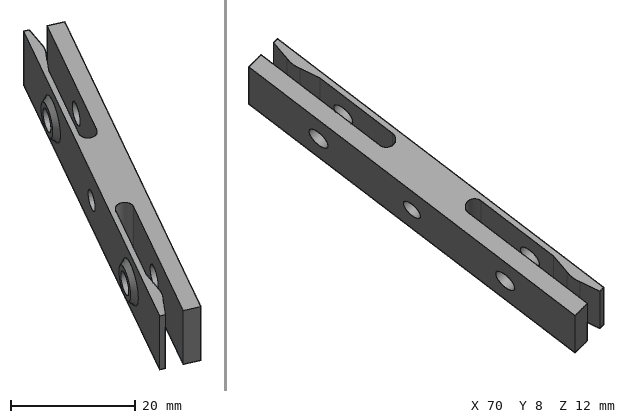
import cadquery as cq

length = 70.0
height = 12.0
back_thickness = 3.0
slot_width = 3.0
leaf_thickness = 1.0
depth = back_thickness + slot_width + leaf_thickness

half_length = length / 2
web_half_width = 8.0
slot_radius = slot_width / 2
slot_middle = leaf_thickness + slot_radius
slot_back = leaf_thickness + slot_width

ridge_half_span = 5.0
ridge_rise = 1.0
crest_half_width = 1.4
crest_shoulder_rise = 0.8
ridge_x = half_length - ridge_half_span

boss_x = 20.0
boss_height = 1.0
boss_base_radius = 4.0
boss_hole_radius = 2.0
center_hole_radius = 1.8


def slot(side):
    """Slot on one side (+1 or -1 along X), leaving the ridge on the leaf."""
    shoulder_y = leaf_thickness + crest_shoulder_rise
    outline = (
        cq.Workplane("XY")
        .moveTo(side * half_length, slot_back)
        .lineTo(side * (web_half_width + slot_radius), slot_back)
        .threePointArc(
            (side * web_half_width, slot_middle),
            (side * (web_half_width + slot_radius), leaf_thickness),
        )
        .lineTo(side * (ridge_x - ridge_half_span), leaf_thickness)
        .lineTo(side * (ridge_x - crest_half_width), shoulder_y)
        .threePointArc(
            (side * ridge_x, leaf_thickness + ridge_rise),
            (side * (ridge_x + crest_half_width), shoulder_y),
        )
        .lineTo(side * half_length, leaf_thickness)
        .close()
    )
    return outline.extrude(height / 2, both=True)


def boss(x):
    """Boss with a 45 degree conical flank on the front face."""
    return (
        cq.Workplane("XZ", origin=(x, 0, 0))
        .circle(boss_base_radius)
        .extrude(boss_height, taper=45)
    )


def through_hole(x, radius):
    """Round cutter along Y through the boss and the whole bar."""
    return (
        cq.Workplane("XZ", origin=(x, depth, 0))
        .circle(radius)
        .extrude(depth + boss_height)
    )


result = cq.Workplane("XY").box(length, depth, height, centered=(True, False, True))

for side in (-1, 1):
    result = result.cut(slot(side))
    result = result.union(boss(side * boss_x))
    result = result.cut(through_hole(side * boss_x, boss_hole_radius))

result = result.cut(through_hole(0, center_hole_radius))